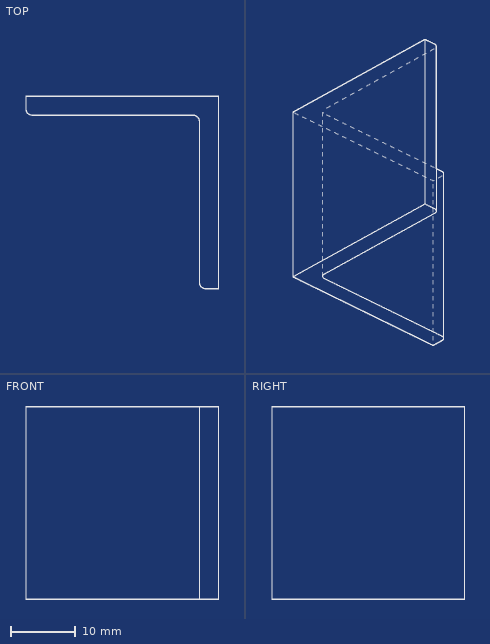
import cadquery as cq

leg_length = 30.0
length = 30.0
thickness = 3.0
edge_radius = 1.0

half_leg = leg_length / 2
inner_face = half_leg - thickness

profile = [
    (-half_leg, half_leg),
    (half_leg, half_leg),
    (half_leg, -half_leg),
    (inner_face, -half_leg),
    (inner_face, inner_face),
    (-half_leg, inner_face),
]
angle = cq.Workplane("XY").polyline(profile).close().extrude(length)

rounded_corners = [
    (inner_face, inner_face),
    (inner_face, -half_leg),
    (-half_leg, inner_face),
]
for x, y in rounded_corners:
    corner_edge = cq.selectors.NearestToPointSelector((x, y, length / 2))
    angle = angle.edges("|Z").edges(corner_edge).fillet(edge_radius)

result = angle